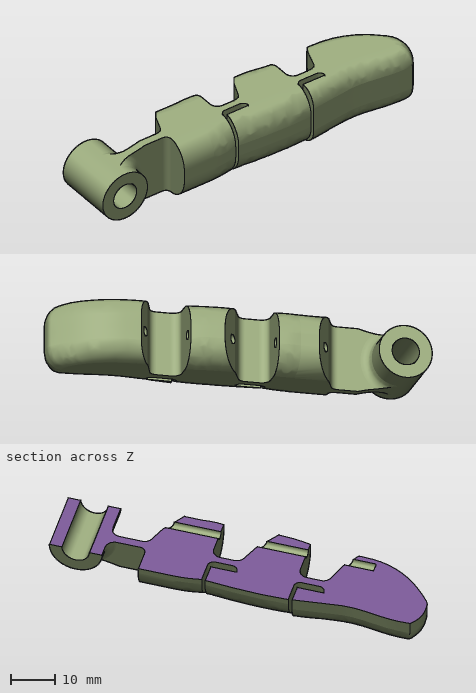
import cadquery as cq


total_length = 87.2
thickness = 15.0
half_thickness = thickness / 2

barrel_diameter = 12.4
barrel_radius = barrel_diameter / 2
bore_diameter = 6.4
barrel_length = 15.35
tip_y = total_length - barrel_radius

z_stretch = 1.16
phalanx_round = 5.2
fingertip_round = 3.8

middle_top = 50.4
proximal_top = 29.9
proximal_back_end = 15.2

distal_hinge_palm, distal_hinge_back = 1.4, 3.4
middle_hinge_palm, middle_hinge_back = 0.8, 2.6
web_palm, web_back = 0.8, 2.9

web_shoulder_y = 8.9
web_flare_radius = 2.1

fingertip_corner, fingertip_bend, fingertip_root_y = (-8.4, 61.8), (-4.3, 59.2), 57.2
middle_corner, middle_bend, middle_root_y = (-9.7, 42.65), (-4.5, 38.9), 36.6
proximal_corner, proximal_bend, proximal_root_y = (-9.3, 20.6), (-4.1, 17.0), 15.0
notch_fillet = 2.0

distal_flap_x, distal_window_top = 5.0, 57.4
middle_flap_x, middle_window_top = 4.2, 36.7
window_fillet = 1.4
flap_gap = 0.8

tendon_diameter = 2.1
tendon_x = -5.8
tendon_end_y = 66.3

outside = 17.4


def rounded_phalanx(outline, rounding):
    """Extrude an XY outline, round its long edges and stretch it along Z to full thickness.

    Only the straight ends, parallel to X, stay sharp.
    """
    body = outline.extrude(half_thickness / z_stretch, both=True)
    body = body.faces("|Z").edges("not |X").fillet(rounding)
    matrix = cq.Matrix([[1, 0, 0, 0], [0, 1, 0, 0], [0, 0, z_stretch, 0]])
    return cq.Workplane(body.val().transformGeometry(matrix))


def fingertip():
    outline = (
        cq.Workplane()
        .moveTo(fingertip_corner[0], middle_top)
        .lineTo(*fingertip_corner)
        .spline(
            [(-7.85, 67.8), (-5.1, 74.0), (-1.75, 78.0), (0.9, 80.3), (3.9, tip_y)],
            tangents=[(0, 1), (1, 0)],
            includeCurrent=True,
        )
        .tangentArcPoint((8.9, 78.8), relative=False)
        .spline([(8.7, 72.4), (7.8, 64.7), (8.6, 55.8), (9.25, middle_top)], includeCurrent=True)
        .close()
    )
    return rounded_phalanx(outline, fingertip_round)


def middle_phalanx():
    outline = (
        cq.Workplane()
        .moveTo(middle_corner[0], proximal_top)
        .lineTo(*middle_corner)
        .threePointArc((-9.4, 46.7), (-8.8, middle_top))
        .lineTo(9.3, middle_top)
        .spline([(9.5, 44.5), (9.25, 37.1), (8.7, proximal_top)], includeCurrent=True)
        .close()
    )
    return rounded_phalanx(outline, phalanx_round)


def proximal_phalanx():
    """Lowest phalanx, continued down to the barrel so that the web can be cut from it."""
    palm_x = proximal_corner[0]
    back_x = 9.4
    outline = (
        cq.Workplane()
        .moveTo(palm_x, 0)
        .lineTo(palm_x, 24.8)
        .threePointArc((-9.5, 27.3), (palm_x, proximal_top))
        .lineTo(8.7, proximal_top)
        .threePointArc((9.25, 26.6), (back_x, 23.55))
        .lineTo(back_x, 0)
        .close()
    )
    return rounded_phalanx(outline, phalanx_round)


def prism(points):
    """Cutting block with a closed XY polygon as its outline."""
    return cq.Workplane().polyline(points).close().extrude(outside, both=True)


def palm_notch(corner, bend, root_y, hinge_x, floor_y):
    """Notch on the palm side: bent slope above, hinge face, and flat floor below."""
    slope = (bend[1] - corner[1]) / (bend[0] - corner[0])
    outer_y = corner[1] - slope * (outside + corner[0])
    notch = prism(
        [(-outside, outer_y), bend, (hinge_x, root_y), (hinge_x, floor_y), (-outside, floor_y)]
    )
    return notch.edges("|Z and >X").fillet(notch_fillet)


def back_window(hinge_x, flap_x, top_y, floor_y):
    """Opening behind a hinge, with the thin gap that frees the flap covering it."""
    opening = prism([(hinge_x, floor_y), (flap_x, floor_y), (flap_x, top_y), (hinge_x, top_y)])
    opening = opening.edges("|Z and <X").fillet(window_fillet)
    gap_top = floor_y + flap_gap
    gap = prism([(flap_x, floor_y), (outside, floor_y), (outside, gap_top), (flap_x, gap_top)])
    return opening.union(gap)


def web_relief():
    """Space behind the web, below the proximal phalanx."""
    top_y = proximal_back_end
    relief = prism([(web_back, -outside), (outside, -outside), (outside, top_y), (web_back, top_y)])
    return relief.edges("|Z and <X and >Y").fillet(window_fillet)


def web_flare():
    """Disc about the X axis whose concave rims blend the web faces into the barrel."""
    outer_radius = barrel_radius + web_flare_radius
    bend = web_flare_radius * (1 - 0.5 ** 0.5)
    palm_foot = web_palm - web_flare_radius
    back_foot = web_back + web_flare_radius
    return (
        cq.Workplane()
        .moveTo(palm_foot, 0)
        .lineTo(palm_foot, barrel_radius)
        .threePointArc((web_palm - bend, barrel_radius + bend), (web_palm, outer_radius))
        .lineTo(web_back, outer_radius)
        .threePointArc((web_back + bend, barrel_radius + bend), (back_foot, barrel_radius))
        .lineTo(back_foot, 0)
        .close()
        .revolve(360, (0, 0), (1, 0))
    )


def side_envelope():
    """YZ outline of web and finger: arcs leave the barrel flat and rise to full thickness."""
    middle_y = web_shoulder_y / 2
    middle_z = barrel_radius + (half_thickness - barrel_radius) / 4
    end_y = tip_y + 0.9
    return (
        cq.Workplane("YZ")
        .moveTo(0, barrel_radius)
        .threePointArc((middle_y, middle_z), (web_shoulder_y, half_thickness))
        .lineTo(end_y, half_thickness)
        .lineTo(end_y, -half_thickness)
        .lineTo(web_shoulder_y, -half_thickness)
        .threePointArc((middle_y, -middle_z), (0, -barrel_radius))
        .close()
        .extrude(outside, both=True)
    )


def tendon_hole():
    return (
        cq.Workplane("XZ")
        .center(tendon_x, 0)
        .circle(tendon_diameter / 2)
        .extrude(-tendon_end_y)
    )


def barrel_cylinder(diameter):
    return cq.Workplane("YZ").circle(diameter / 2).extrude(barrel_length / 2, both=True)


finger = (
    fingertip()
    .union(middle_phalanx())
    .union(proximal_phalanx())
    .cut(palm_notch(fingertip_corner, fingertip_bend, fingertip_root_y, distal_hinge_palm, middle_top))
    .cut(palm_notch(middle_corner, middle_bend, middle_root_y, middle_hinge_palm, proximal_top))
    .cut(palm_notch(proximal_corner, proximal_bend, proximal_root_y, web_palm, -outside))
    .cut(back_window(distal_hinge_back, distal_flap_x, distal_window_top, middle_top))
    .cut(back_window(middle_hinge_back, middle_flap_x, middle_window_top, proximal_top))
    .cut(web_relief())
    .union(web_flare())
    .intersect(side_envelope())
    .cut(tendon_hole())
)

result = finger.union(barrel_cylinder(barrel_diameter)).cut(barrel_cylinder(bore_diameter))